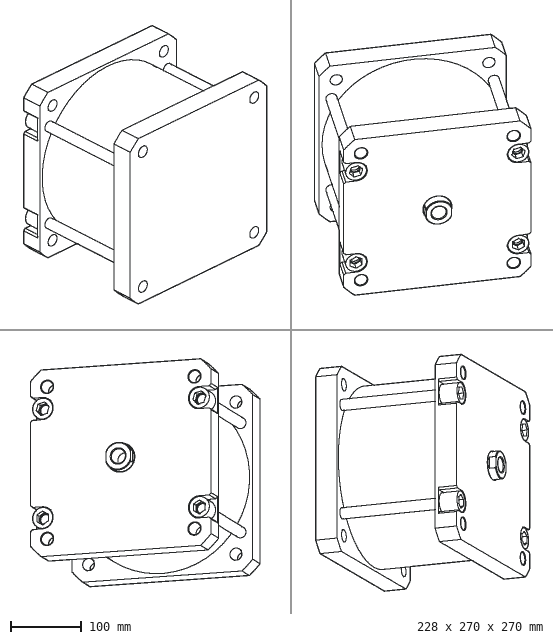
import cadquery as cq
import math


plate_width = 270.0
plate_thickness = 33.0
corner_radius = 180.0
mount_spacing = 220.0
mount_diameter = 17.5
mount_chamfer = 1.0

barrel_diameter = 261.0
barrel_length = 150.0

tie_offset_y = 117.0
tie_offset_z = 79.0
tie_diameter = 16.0
tie_thread_depth = 24.0
head_diameter = 30.0
head_recess = 0.7
socket_across_flats = 17.0
socket_depth = 10.0
upper_socket_angle = 17.0
lower_socket_angle = 0.0
socket_bore_diameter = 15.0
socket_bore_depth = 4.0

slot_depth = 28.0
slot_width = 32.0
slot_mouth_chamfer = 3.0

rod_diameter = 40.0
rod_protrusion = 12.0
rod_chamfer = 1.0
rod_across_flats = 36.5
rod_bore_chamfer = 1.0
tapped_hole_diameter = 21.0
tapped_hole_depth = 30.0
tapped_hole_chamfer = 1.25
drill_point_angle = 118.0

half_width = plate_width / 2
barrel_start = plate_thickness
rear_plate_start = barrel_start + barrel_length
tie_positions = [(sy * tie_offset_y, sz * tie_offset_z) for sy in (-1, 1) for sz in (-1, 1)]


def cylinder(diameter, x_start, length, y=0.0, z=0.0):
    """Cylinder along +X starting at x_start."""
    return cq.Workplane("YZ", origin=(x_start, y, z)).circle(diameter / 2).extrude(length)


def countersink(diameter, size, x_face, y=0.0, z=0.0):
    """45 degree cone cutter that breaks a hole edge on a face looking toward -X."""
    cone = cq.Solid.makeCone(
        diameter / 2 + size, diameter / 2, size, cq.Vector(x_face, y, z), cq.Vector(1, 0, 0)
    )
    return cq.Workplane(obj=cone)


def plate_blank(x_start):
    """Square plate with arc-trimmed corners and four mounting holes."""
    square = cq.Workplane("YZ", origin=(x_start, 0, 0)).rect(plate_width, plate_width)
    plate = square.extrude(plate_thickness).intersect(cylinder(2 * corner_radius, x_start, plate_thickness))
    holes = (
        cq.Workplane("YZ", origin=(x_start, 0, 0))
        .rect(mount_spacing, mount_spacing, forConstruction=True)
        .vertices()
        .circle(mount_diameter / 2)
        .extrude(plate_thickness)
    )
    return plate.cut(holes)


def head_slot(y, z):
    """Round-ended slot, open to the nearest Y side, with a chamfered mouth."""
    side = math.copysign(1, y)
    radius = slot_width / 2
    edge = side * half_width
    chamfer_start = edge - side * slot_mouth_chamfer
    mouth = radius + slot_mouth_chamfer
    return (
        cq.Workplane("YZ")
        .moveTo(y, z + radius)
        .lineTo(chamfer_start, z + radius)
        .lineTo(edge, z + mouth)
        .lineTo(edge, z - mouth)
        .lineTo(chamfer_start, z - radius)
        .lineTo(y, z - radius)
        .threePointArc((y - side * radius, z), (y, z + radius))
        .close()
        .extrude(slot_depth)
    )


def make_front_plate():
    plate = plate_blank(0)
    half_spacing = mount_spacing / 2
    for y in (-half_spacing, half_spacing):
        for z in (-half_spacing, half_spacing):
            plate = plate.cut(countersink(mount_diameter, mount_chamfer, 0, y, z))
    for y, z in tie_positions:
        plate = plate.cut(head_slot(y, z))
        plate = plate.cut(cylinder(tie_diameter, 0, plate_thickness, y, z))
    plate = plate.cut(cylinder(rod_diameter, 0, plate_thickness))
    return plate.cut(countersink(rod_diameter, rod_bore_chamfer, 0))


def make_rear_plate():
    plate = plate_blank(rear_plate_start)
    for y, z in tie_positions:
        plate = plate.cut(cylinder(tie_diameter, rear_plate_start, tie_thread_depth, y, z))
    return plate


def make_tie_rod(y, z):
    """Cap-head tie rod: head just below the front face, shank reaching into the rear plate."""
    shank_length = rear_plate_start + tie_thread_depth - slot_depth
    socket_angle = upper_socket_angle if z > 0 else lower_socket_angle
    head = cylinder(head_diameter, head_recess, slot_depth - head_recess, y, z)
    socket = (
        cq.Workplane("YZ", origin=(head_recess, y, z))
        .polygon(6, socket_across_flats, circumscribed=True)
        .extrude(socket_depth)
        .rotate((0, y, z), (1, y, z), socket_angle)
    )
    bore = cylinder(socket_bore_diameter, head_recess + socket_depth, socket_bore_depth, y, z)
    shank = cylinder(tie_diameter, slot_depth, shank_length, y, z)
    return head.union(shank).cut(socket).cut(bore)


def make_piston_rod():
    """Rod with wrench flats and a tapped hole, ending at the barrel face."""
    rod = cylinder(rod_diameter, -rod_protrusion, rod_protrusion + plate_thickness)
    rod = rod.faces("<X").chamfer(rod_chamfer)

    rod_radius = rod_diameter / 2
    flat_offset = rod_across_flats / 2
    ramp_length = rod_radius - flat_offset
    flat_cut = (
        cq.Workplane("XY", origin=(0, 0, -rod_radius))
        .moveTo(-rod_protrusion, flat_offset)
        .lineTo(-ramp_length, flat_offset)
        .lineTo(0, rod_radius)
        .lineTo(-rod_protrusion, rod_radius)
        .close()
        .extrude(rod_diameter)
    )
    rod = rod.cut(flat_cut).cut(flat_cut.mirror("XZ"))

    hole_radius = tapped_hole_diameter / 2
    point_length = hole_radius / math.tan(math.radians(drill_point_angle / 2))
    hole_end = tapped_hole_depth - rod_protrusion
    point = cq.Solid.makeCone(
        hole_radius, 0, point_length, cq.Vector(hole_end, 0, 0), cq.Vector(1, 0, 0)
    )
    rod = rod.cut(cylinder(tapped_hole_diameter, -rod_protrusion, tapped_hole_depth))
    rod = rod.cut(cq.Workplane(obj=point))
    return rod.cut(countersink(tapped_hole_diameter, tapped_hole_chamfer, -rod_protrusion))


front_plate = make_front_plate()
barrel = cylinder(barrel_diameter, barrel_start, barrel_length)
rear_plate = make_rear_plate()
piston_rod = make_piston_rod()
tie_rods = [make_tie_rod(y, z) for y, z in tie_positions]

result = cq.Compound.makeCompound(
    [
        front_plate.val(),
        barrel.val(),
        rear_plate.val(),
        piston_rod.val(),
        *[tie_rod.val() for tie_rod in tie_rods],
    ]
)